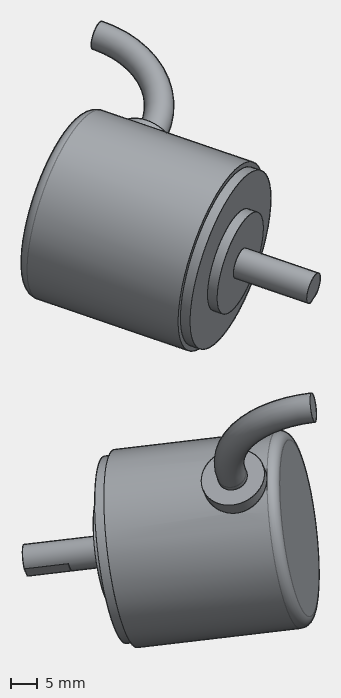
import cadquery as cq

housing_diameter = 37.0
housing_length = 32.95
rear_fillet = 2.0
step_length = 2.0
flange_diameter = 35.0
boss_diameter = 20.0

shaft_diameter = 5.95
shaft_length = 15.05
flat_length = 8.4
flat_depth = 0.3

gland_diameter = 12.0
gland_top = 20.5
cable_diameter = 5.5
bend_radius = 20.0
bend_start = 21.45
cable_x = rear_fillet + gland_diameter / 2

flange_end = housing_length + step_length
boss_end = flange_end + step_length
shaft_end = boss_end + shaft_length


def cylinder_along_x(diameter, start, end):
    return cq.Workplane("YZ", origin=(start, 0, 0)).circle(diameter / 2).extrude(end - start)


def cylinder_along_y(diameter, end):
    """Cylinder at the cable position, from the housing axis plane out to Y = end."""
    return cq.Workplane("XZ", origin=(cable_x, 0, 0)).circle(diameter / 2).extrude(-end)


def make_housing():
    housing = cylinder_along_x(housing_diameter, 0, housing_length).faces("<X").edges().fillet(rear_fillet)
    flange = cylinder_along_x(flange_diameter, housing_length, flange_end)
    boss = cylinder_along_x(boss_diameter, flange_end, boss_end)
    return housing.union(flange).union(boss)


def make_shaft():
    shaft = cylinder_along_x(shaft_diameter, boss_end, shaft_end)
    flat_cutter = cq.Workplane("XY").box(
        flat_length, shaft_diameter, flat_depth, centered=(False, True, False)
    ).translate((shaft_end - flat_length, 0, -shaft_diameter / 2))
    return shaft.cut(flat_cutter)


def make_cable():
    straight = cylinder_along_y(cable_diameter, bend_start)
    bend = (
        cq.Workplane("XZ", origin=(cable_x, bend_start, 0))
        .circle(cable_diameter / 2)
        .revolve(90, (-bend_radius, 0, 0), (-bend_radius, 1, 0))
    )
    return straight.union(bend)


gland = cylinder_along_y(gland_diameter, gland_top)
result = make_housing().union(make_shaft()).union(gland).union(make_cable())